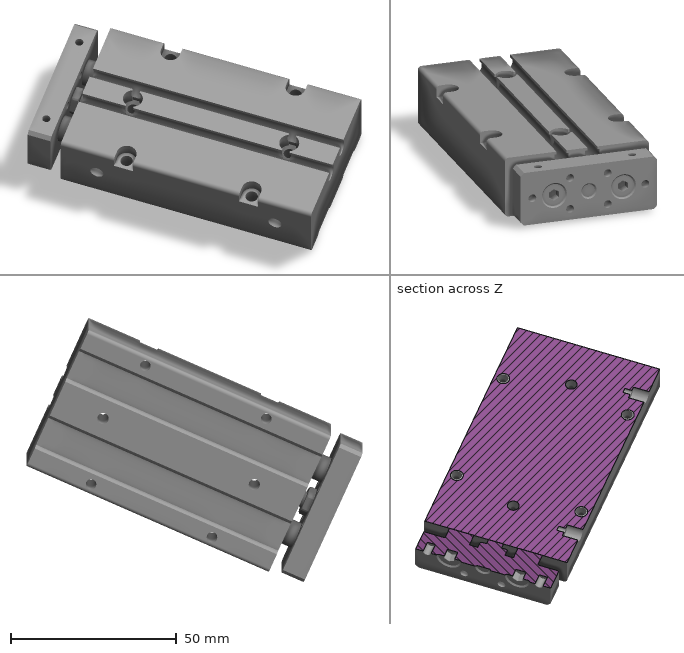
import cadquery as cq
import math


overall_length = 91.0
plate_thickness = 7.3
plate_width = 43.6
plate_height = 17.0
plate_chamfer = 1.1
plate_hole_diameter = 2.5
plate_hole_depth = 3.6
grid_hole_y = 6.0
grid_hole_z = 5.0
end_hole_y = 18.0
top_hole_y = 15.0

rod_gap = 3.7
guide_rod_diameter = 8.0
guide_rod_y = 11.0
piston_rod_diameter = 5.0
rod_seat_chamfer = 0.5
socket_across_flats = 3.2
socket_depth = 2.7
nut_across_flats = 8.0
nut_corner_diameter = 8.9
nut_length = 2.3
nut_chamfer_length = 0.3

housing_front = plate_thickness + rod_gap
housing_length = overall_length - housing_front
housing_width = 46.0
housing_height = 19.0
housing_edge_radius = 1.2
housing_top = housing_height / 2
housing_center_x = housing_front + housing_length / 2

groove_y = 4.9
groove_neck_width = 3.2
groove_diameter = 4.55
groove_neck_depth = 0.9
groove_axis_depth = 2.5

recess_depth = 1.0
recess_inner_y = 5.7
recess_outer_y = 16.8
recess_flare = 1.0

counterbore_diameter = 6.0
counterbore_depth = 3.6
side_hole_y = 20.0
side_hole_x = (housing_front + 20.0, housing_front + 60.0)
side_hole_diameter = 3.2
side_hole_upper_diameter = 3.7
side_hole_upper_bottom = 0.0
middle_hole_x = (housing_front + 15.0, housing_front + 65.0)
middle_hole_diameter = 3.4
middle_counterbore_depth = 5.5
middle_slot_width = 2.4

port_end_distance = 11.6
port_x = (housing_front + port_end_distance, overall_length - port_end_distance)
port_diameter = 4.2
port_depth = 5.0
port_bore_diameter = 1.5
port_bore_depth = 7.3


def box(length, width, height, center):
    return cq.Workplane("XY").box(length, width, height).translate(center)


def cylinder_x(diameter, x_start, length, y=0.0, z=0.0):
    return cq.Workplane("YZ", origin=(x_start, y, z)).circle(diameter / 2).extrude(length)


def hole_down(diameter, x, y, z_top, depth):
    return cq.Workplane("XY", origin=(x, y, z_top)).circle(diameter / 2).extrude(-depth)


def hexagon_x(across_flats, x_start, length, y=0.0, vertex_up=False):
    """Hexagonal prism along X, with its corners pointing along Z or along Y."""
    corner_diameter = across_flats / math.cos(math.radians(30))
    turn = 90 if vertex_up else 0
    return (
        cq.Workplane("YZ", origin=(x_start, y, 0))
        .transformed(rotate=(0, 0, turn))
        .polygon(6, corner_diameter)
        .extrude(length)
    )


def make_seat(diameter, y):
    """Conical recess in the plate front, ending at the flat rod end."""
    radius = diameter / 2
    cone = cq.Solid.makeCone(
        radius, radius - rod_seat_chamfer, rod_seat_chamfer, cq.Vector(0, y, 0), cq.Vector(1, 0, 0)
    )
    return cq.Workplane(cone)


def make_nut():
    """Hexagonal nut with trimmed corners and a chamfered end."""
    hexagon = hexagon_x(nut_across_flats, plate_thickness, nut_length)
    envelope = (
        cylinder_x(nut_corner_diameter, plate_thickness, nut_length)
        .faces(">X")
        .chamfer(nut_chamfer_length, (nut_corner_diameter - nut_across_flats) / 2)
    )
    return hexagon.intersect(envelope)


def make_moving_unit():
    """Tool plate with its nut, piston rod and two guide rods, ending at the housing front."""
    unit = box(plate_thickness, plate_width, plate_height, (plate_thickness / 2, 0, 0))
    unit = unit.edges("|X").chamfer(plate_chamfer)
    unit = unit.union(make_nut())
    unit = unit.union(cylinder_x(piston_rod_diameter, plate_thickness, rod_gap))
    unit = unit.cut(make_seat(piston_rod_diameter, 0))

    for side in (-1, 1):
        rod_y = side * guide_rod_y
        unit = unit.union(cylinder_x(guide_rod_diameter, plate_thickness, rod_gap, rod_y))
        unit = unit.cut(make_seat(guide_rod_diameter, rod_y))
        unit = unit.cut(
            hexagon_x(socket_across_flats, rod_seat_chamfer, socket_depth, rod_y, vertex_up=True)
        )
        unit = unit.cut(cylinder_x(plate_hole_diameter, 0, plate_hole_depth, side * end_hole_y))
        unit = unit.cut(
            hole_down(
                plate_hole_diameter, plate_thickness / 2, side * top_hole_y, plate_height / 2, plate_hole_depth
            )
        )
        for level in (-1, 1):
            unit = unit.cut(
                cylinder_x(plate_hole_diameter, 0, plate_thickness, side * grid_hole_y, level * grid_hole_z)
            )
    return unit


def groove_slot(y, width, depth):
    """Straight-walled slot along the whole top face."""
    return box(housing_length, width, depth, (housing_center_x, y, housing_top - depth / 2))


def sensor_groove(y):
    """Round-bottomed groove that opens through a narrower neck in the top face."""
    neck = groove_slot(y, groove_neck_width, groove_axis_depth)
    round_bottom = cylinder_x(groove_diameter, housing_front, housing_length, y, housing_top - groove_axis_depth)
    wide_height = groove_axis_depth - groove_neck_depth
    wide_part = groove_slot(y, groove_diameter, wide_height).translate((0, 0, -groove_neck_depth))
    bore_top = housing_top - groove_neck_depth
    headroom = box(
        housing_length,
        groove_diameter,
        groove_diameter,
        (housing_center_x, y, bore_top - groove_diameter / 2),
    )
    return neck.union(wide_part).union(round_bottom.intersect(headroom))


def bottom_recess(side):
    """Shallow flared channel in the bottom face."""
    bottom = -housing_height / 2
    roof = bottom + recess_depth
    return (
        cq.Workplane("YZ", origin=(housing_front, 0, 0))
        .polyline(
            [
                (side * recess_inner_y, bottom),
                (side * (recess_inner_y + recess_flare), roof),
                (side * (recess_outer_y - recess_flare), roof),
                (side * recess_outer_y, bottom),
            ]
        )
        .close()
        .extrude(housing_length)
    )


def side_mounting_hole(x, side):
    """Stepped through hole whose counterbore runs out through the side face."""
    y = side * side_hole_y
    floor = housing_top - counterbore_depth
    run_out = housing_width / 2 - side_hole_y
    hole = hole_down(counterbore_diameter, x, y, housing_top, counterbore_depth)
    hole = hole.union(
        box(
            counterbore_diameter,
            run_out,
            counterbore_depth,
            (x, side * (side_hole_y + run_out / 2), housing_top - counterbore_depth / 2),
        )
    )
    hole = hole.union(hole_down(side_hole_upper_diameter, x, y, floor, floor - side_hole_upper_bottom))
    return hole.union(hole_down(side_hole_diameter, x, y, floor, housing_height - counterbore_depth))


def middle_mounting_hole(x):
    """Counterbored through hole with a cross slot that opens into both sensor grooves."""
    slot_length = 2 * groove_y - groove_neck_width
    hole = hole_down(counterbore_diameter, x, 0, housing_top, middle_counterbore_depth)
    hole = hole.union(
        box(
            middle_slot_width,
            slot_length,
            middle_counterbore_depth,
            (x, 0, housing_top - middle_counterbore_depth / 2),
        )
    )
    return hole.union(hole_down(middle_hole_diameter, x, 0, housing_top, housing_height))


def air_port(x):
    """Blind port with a narrow bore at its bottom."""
    face = cq.Workplane("XZ", origin=(x, -housing_width / 2, 0))
    port = face.circle(port_diameter / 2).extrude(-port_depth)
    return port.union(face.circle(port_bore_diameter / 2).extrude(-port_bore_depth))


def make_housing():
    """Housing block with grooves, recesses, mounting holes and ports."""
    body = box(housing_length, housing_width, housing_height, (housing_center_x, 0, 0))
    body = body.edges("|X").fillet(housing_edge_radius)
    for side in (-1, 1):
        body = body.cut(sensor_groove(side * groove_y))
        body = body.cut(bottom_recess(side))
        for x in side_hole_x:
            body = body.cut(side_mounting_hole(x, side))
    for x in middle_hole_x:
        body = body.cut(middle_mounting_hole(x))
    for x in port_x:
        body = body.cut(air_port(x))
    return body


housing = make_housing()
moving_unit = make_moving_unit()

result = cq.Compound.makeCompound([housing.val(), moving_unit.val()])